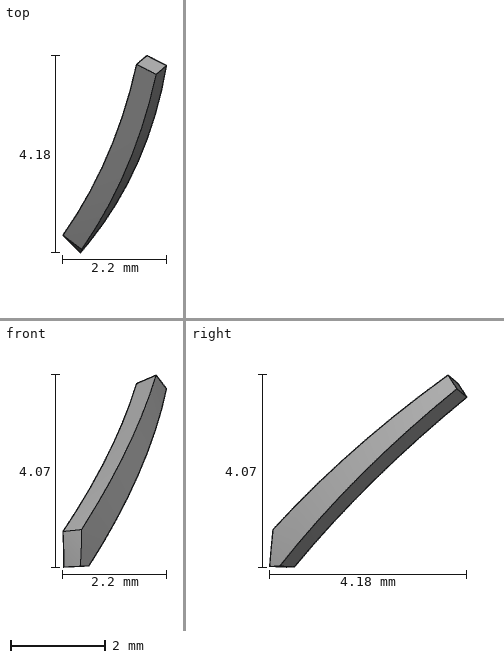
import cadquery as cq

BAR_WIDTH = 0.501

FOOT_SECTION = ((-0.343, -0.098, 0.261), (0.796, -0.604, 0.038), (0.399, 0.572, 0.716), 0.729)
MIDDLE_SECTION = ((0.827, 1.785, 2.138), (0.789, -0.585, 0.188), (0.374, 0.699, 0.609), 0.601)
TIP_SECTION = ((1.561, 3.978, 3.894), (0.832, -0.425, 0.356), (0.139, 0.781, 0.609), 0.412)

FOOT_HEIGHT = 0.785
FRONT_VERTICAL_SIDE = cq.Vector(0.0, 0.36)
FRONT_LEAN_AT_SOLE = cq.Vector(0.357, 0.0)
FRONT_LEAN_AT_TOP = cq.Vector(0.405, 0.05)

SOLE_TILT = 2.8

CUT_REACH = 1.0
FRONT_CUT_BOTTOM = -0.5
FRONT_CUT_TOP = 1.1


def section_corners(section):
    """Four corners of one rectangular section, in order around it."""
    corner, across, along, depth = section
    plane = cq.Plane(origin=corner, xDir=across, normal=along)
    outline = ((0, 0), (BAR_WIDTH, 0), (BAR_WIDTH, depth), (0, depth))
    return [plane.toWorldCoords(point) for point in outline]


def make_bar():
    """Bar bounded by four arc edges, ruled faces between them and two flat ends."""
    foot = section_corners(FOOT_SECTION)
    middle = section_corners(MIDDLE_SECTION)
    tip = section_corners(TIP_SECTION)
    edges = [cq.Edge.makeThreePointArc(*points) for points in zip(foot, middle, tip)]
    faces = []
    for index, edge in enumerate(edges):
        next_edge = edges[(index + 1) % len(edges)]
        faces.append(cq.Face.makeRuledSurface(edge, next_edge))
    for corners in (foot, tip):
        faces.append(cq.Face.makeFromWires(cq.Wire.makePolygon(corners, close=True)))
    return cq.Solid.makeSolid(cq.Shell.makeShell(faces)).fix()


def front_cut_outline(height):
    """Horizontal outline of the front cut: the face line and a wide strip ahead of it."""
    lean = (FRONT_LEAN_AT_TOP - FRONT_LEAN_AT_SOLE) * (height / FOOT_HEIGHT)
    direction = (FRONT_LEAN_AT_SOLE + lean - FRONT_VERTICAL_SIDE).normalized()
    ahead = cq.Vector(direction.y, -direction.x) * CUT_REACH
    level = cq.Vector(0, 0, height)
    start = FRONT_VERTICAL_SIDE - direction * CUT_REACH + level
    end = FRONT_VERTICAL_SIDE + direction * CUT_REACH + level
    return cq.Wire.makePolygon([start, end, end + ahead, start + ahead], close=True)


def make_front_cut():
    """Body removed ahead of the front face of the foot."""
    outlines = [front_cut_outline(FRONT_CUT_BOTTOM), front_cut_outline(FRONT_CUT_TOP)]
    return cq.Solid.makeLoft(outlines, True)


def make_sole_cut():
    """Body removed below the sole."""
    block = cq.Workplane("XY").box(2 * CUT_REACH, 2 * CUT_REACH, CUT_REACH, centered=(True, True, False))
    return block.translate((0, 0, -CUT_REACH)).rotate((0, 0, 0), (0, 1, 0), -SOLE_TILT)


trimmed_bar = cq.Workplane(make_bar()).cut(cq.Workplane(make_front_cut())).cut(make_sole_cut())
result = cq.Workplane(trimmed_bar.solids().val())